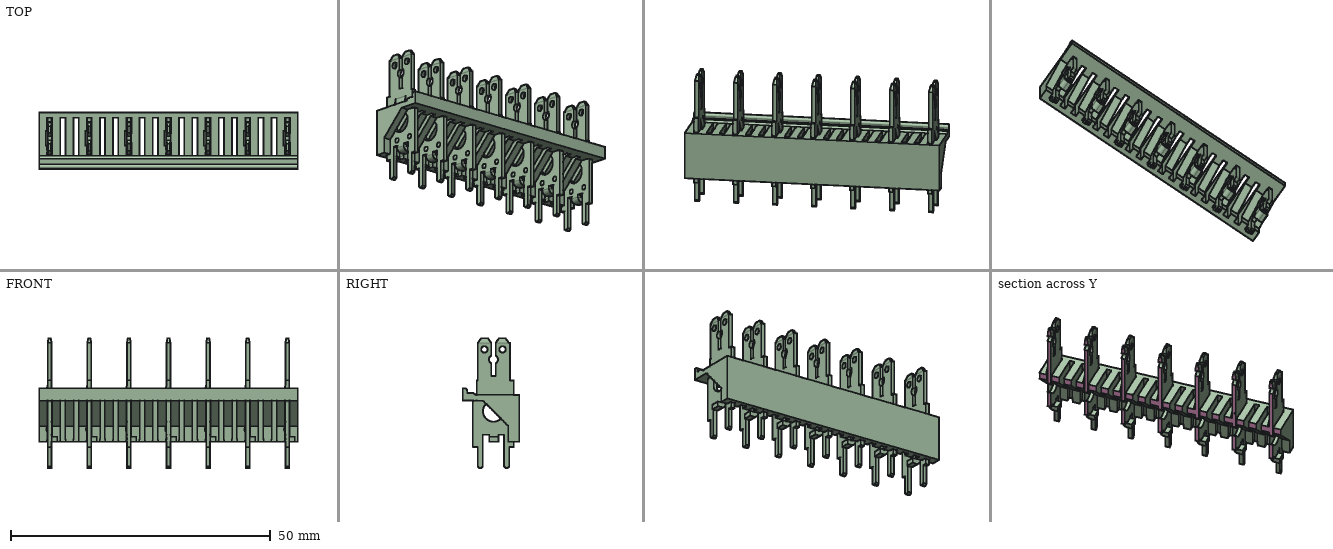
import cadquery as cq


LENGTH = 49.85
DEPTH = 10.9
DECK_TOP = 9.0
DECK_THICKNESS = 1.1
DECK_BOTTOM = DECK_TOP - DECK_THICKNESS
LIP_TOP = 10.3
LIP_DEPTH = 0.9
LIP_ROUNDING = 0.5
STEP_TOP = 9.4
STEP_BACK = 2.0
RAMP_BACK = 2.6
WALL_THICKNESS = 2.1
GUSSET_SIZE = 4.95

SLOT_COUNT = 19
SLOT_PITCH = 2.55
SLOT_WIDTH = 0.95
SLOT_FRONT = RAMP_BACK
SLOT_BACK = 9.85
LEAD_IN_WIDTH = 0.1
LEAD_IN_HEIGHT = 0.6

SLOTS_PER_TERMINAL = 3
PLATE_THICKNESS = 0.8
PLATE_FRONT = 1.95
PLATE_BACK = SLOT_BACK
PLATE_BOTTOM = -1.05
SHOULDER_ROUNDING = 0.2
CHEEK_ROUNDING = 0.15
COLLAR_FRONT = 2.7
COLLAR_TOP = 11.8

BLADE_FRONT = 2.9
BLADE_BACK = 9.1
BLADE_SHOULDER = 19.05
BLADE_TOP = 19.95
BLADE_TAPER = 0.175
TIP_CHAMFER = 0.65
REAR_TIP_LEDGE = 0.2
TIP_HOLE_DIAMETER = 1.2
TIP_HOLE_Z = 17.8
TIP_HOLE_SPACING = 3.5
SPLIT_WIDTH = 0.8
SPLIT_BOTTOM = 12.7
SPLIT_Y = 5.95
KEYHOLE_DIAMETER = 1.7
KEYHOLE_Z = 15.85

WINDOW_DIAMETER = 4.0
WINDOW_Z = 5.9

LEG_BOTTOM = -5.1
LEG_WIDTH = 1.05
FRONT_LEG_Y = 3.4
REAR_LEG_Y = 8.45
LEG_TIP_CHAMFER = 0.35
CROTCH_Z = 1.35

FOOT_FRONT = 5.1
FOOT_BACK = 6.95
FOOT_THICKNESS = 1.0
FOOT_BEND_RADIUS = 0.95
FOOT_REACH = 1.05

STOP_FRONT = 4.55
STOP_BACK = 7.4
STOP_TOP = 10.9
STOP_PROJECTION = 0.4

DIMPLE_DIAMETER = 0.95
DIMPLE_HEIGHT = 0.25
DIMPLE_Z = 2.4
DIMPLE_YS = (3.45, 7.0)

HALF_PLATE = PLATE_THICKNESS / 2


def plate_box(front, back, bottom, top):
    """A rectangle of terminal sheet, centred on X = 0."""
    return (
        cq.Workplane("XY")
        .box(PLATE_THICKNESS, back - front, top - bottom, centered=(True, False, False))
        .translate((0, front, bottom))
    )


def plate_hole(diameter, y, z):
    """A round cutter running through the terminal sheet."""
    return (
        cq.Workplane("YZ")
        .center(y, z)
        .circle(diameter / 2)
        .extrude(PLATE_THICKNESS, both=True)
    )


def prism_along_y(points, front, back):
    """An XZ outline extruded from y = front to y = back."""
    return (
        cq.Workplane("XZ", origin=(0, front, 0))
        .polyline(points)
        .close()
        .extrude(front - back)
    )


def slot_x(index):
    """X of a slot centre, counted from the -X end."""
    return (index - (SLOT_COUNT - 1) / 2) * SLOT_PITCH


def make_housing():
    """The unslotted housing: rear wall, sloped gusset, deck and raised front lip."""
    wall_front = DEPTH - WALL_THICKNESS
    outline = [
        (DEPTH, 0),
        (DEPTH, DECK_TOP),
        (RAMP_BACK, DECK_TOP),
        (STEP_BACK, STEP_TOP),
        (LIP_DEPTH, STEP_TOP),
        (LIP_DEPTH, LIP_TOP),
        (0, LIP_TOP),
        (0, DECK_BOTTOM),
        (wall_front - GUSSET_SIZE, DECK_BOTTOM),
        (wall_front, DECK_BOTTOM - GUSSET_SIZE),
        (wall_front, 0),
    ]
    body = cq.Workplane("YZ").polyline(outline).close().extrude(LENGTH / 2, both=True)
    lip_corner = cq.NearestToPointSelector((0, LIP_DEPTH, LIP_TOP))
    return body.edges(lip_corner).fillet(LIP_ROUNDING)


def make_slot():
    """A slot through the deck and wall, flared at the underside as a lead-in."""
    half_width = SLOT_WIDTH / 2
    flare = half_width + LEAD_IN_WIDTH
    outline = [
        (-flare, 0),
        (-half_width, LEAD_IN_HEIGHT),
        (-half_width, DECK_TOP),
        (half_width, DECK_TOP),
        (half_width, LEAD_IN_HEIGHT),
        (flare, 0),
    ]
    return prism_along_y(outline, SLOT_FRONT, SLOT_BACK)


def make_blade(front, back, rear_ledge):
    """One contact blade; its tip thins in X and starts rear_ledge short of the rear edge."""
    tip_back = back - rear_ledge
    tip_outline = [
        (front, BLADE_SHOULDER),
        (front + TIP_CHAMFER, BLADE_TOP),
        (tip_back - TIP_CHAMFER, BLADE_TOP),
        (tip_back, BLADE_SHOULDER),
    ]
    tip = cq.Workplane("YZ").polyline(tip_outline).close().extrude(HALF_PLATE, both=True)
    for side in (-1, 1):
        taper = [
            (side * HALF_PLATE, BLADE_SHOULDER),
            (side * HALF_PLATE, BLADE_TOP),
            (side * (HALF_PLATE - BLADE_TAPER), BLADE_TOP),
        ]
        tip = tip.cut(prism_along_y(taper, front, back))
    return plate_box(front, back, DECK_TOP, BLADE_SHOULDER).union(tip)


def make_leg(y):
    """One solder leg with a chamfered tip."""
    leg = plate_box(y - LEG_WIDTH / 2, y + LEG_WIDTH / 2, LEG_BOTTOM, CROTCH_Z)
    return leg.faces("<Z").edges("|X").chamfer(LEG_TIP_CHAMFER)


def make_foot():
    """The tongue between the legs, bent round towards +X."""
    tongue = [
        (-HALF_PLATE, CROTCH_Z),
        (-HALF_PLATE, 0),
        (HALF_PLATE + FOOT_REACH, 0),
        (HALF_PLATE + FOOT_REACH, FOOT_THICKNESS),
        (HALF_PLATE, FOOT_THICKNESS),
        (HALF_PLATE, CROTCH_Z),
    ]
    foot = prism_along_y(tongue, FOOT_FRONT, FOOT_BACK)
    return foot.faces("<X").edges("<Z").fillet(FOOT_BEND_RADIUS)


def make_stop():
    """The sloping stop on the -X face, resting on the deck."""
    wedge = [
        (-HALF_PLATE, STOP_TOP),
        (-HALF_PLATE - STOP_PROJECTION, DECK_TOP),
        (-HALF_PLATE, DECK_TOP),
    ]
    return prism_along_y(wedge, STOP_FRONT, STOP_BACK)


def make_dimple(y):
    """A shallow spherical bump on the -X face."""
    radius = ((DIMPLE_DIAMETER / 2) ** 2 + DIMPLE_HEIGHT**2) / (2 * DIMPLE_HEIGHT)
    centre_x = -HALF_PLATE - DIMPLE_HEIGHT + radius
    ball = cq.Workplane("XY").sphere(radius).translate((centre_x, y, DIMPLE_Z))
    cap_zone = (
        cq.Workplane("XY")
        .box(PLATE_THICKNESS, 2 * DIMPLE_DIAMETER, 2 * DIMPLE_DIAMETER)
        .translate((-HALF_PLATE, y, DIMPLE_Z))
    )
    return ball.intersect(cap_zone)


def make_terminal():
    """One complete terminal, with its rear edge seated against the back of its slot."""
    terminal = plate_box(PLATE_FRONT, PLATE_BACK, CROTCH_Z, DECK_BOTTOM)
    terminal = terminal.faces("<Y").edges(">Z").fillet(SHOULDER_ROUNDING)
    terminal = terminal.union(plate_box(COLLAR_FRONT, PLATE_BACK, DECK_BOTTOM, COLLAR_TOP))

    split_front = SPLIT_Y - SPLIT_WIDTH / 2
    split_back = SPLIT_Y + SPLIT_WIDTH / 2
    terminal = terminal.union(make_blade(BLADE_FRONT, split_front, 0))
    terminal = terminal.union(make_blade(split_back, BLADE_BACK, REAR_TIP_LEDGE))
    terminal = terminal.union(plate_box(split_front, split_back, DECK_TOP, SPLIT_BOTTOM))

    for leg_y in (FRONT_LEG_Y, REAR_LEG_Y):
        terminal = terminal.union(make_leg(leg_y))
    front_cheek = plate_box(PLATE_FRONT, FRONT_LEG_Y, PLATE_BOTTOM, CROTCH_Z)
    front_cheek = front_cheek.faces("<Y").edges("<Z").fillet(CHEEK_ROUNDING)
    rear_cheek = plate_box(REAR_LEG_Y, PLATE_BACK, PLATE_BOTTOM, CROTCH_Z)
    terminal = terminal.union(front_cheek).union(rear_cheek)
    terminal = terminal.union(make_foot()).union(make_stop())
    for dimple_y in DIMPLE_YS:
        terminal = terminal.union(make_dimple(dimple_y))

    for side in (-1, 1):
        hole_y = SPLIT_Y + side * TIP_HOLE_SPACING / 2
        terminal = terminal.cut(plate_hole(TIP_HOLE_DIAMETER, hole_y, TIP_HOLE_Z))
    terminal = terminal.cut(plate_hole(KEYHOLE_DIAMETER, SPLIT_Y, KEYHOLE_Z))
    return terminal.cut(plate_hole(WINDOW_DIAMETER, SPLIT_Y, WINDOW_Z))


housing = make_housing()
slot = make_slot()
for slot_index in range(SLOT_COUNT):
    housing = housing.cut(slot.translate((slot_x(slot_index), 0, 0)))

terminal = make_terminal()
result = housing
for slot_index in range(0, SLOT_COUNT, SLOTS_PER_TERMINAL):
    result = result.union(terminal.translate((slot_x(slot_index), 0, 0)))